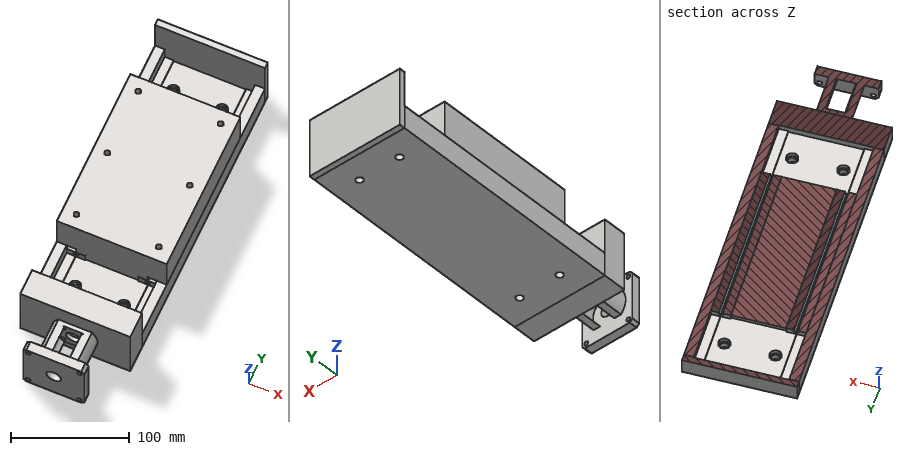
import cadquery as cq
import math

stage_width = 101.5
stage_height = 62.0

base_length = 255.0
base_height = 24.8
wall_inner_x = 41.5
ledge_inner_x = 33.5
ledge_z = 11.2
floor_z = 10.0
base_hole_spacing_x = 45.0
base_hole_spacing_y = 204.0
base_hole_diameter = 7.3
base_counterbore_diameter = 10.5
base_counterbore_depth = 4.0

rear_plate_thickness = 6.0
front_block_thickness = 24.8

carriage_length = 153.0
carriage_bottom_z = 13.0
carriage_hole_spacing_x = 76.0
carriage_hole_spacing_y = 64.0
carriage_hole_diameter = 5.0
carriage_hole_depth = 12.0
drill_tip_angle = 118

rail_width = 8.3
rail_top_z = 19.0
rail_gap = 0.5
groove_depth = 2.0

motor_axis_z = 29.0
flange_size = 56.5
flange_thickness = 9.0
flange_chamfer = 3.0
flange_hole_spacing = 47.3
flange_hole_diameter = 4.3
neck_length = 35.7
neck_diameter = 41.3
neck_flat_height = 27.5
neck_back_wall = 4.0
cavity_diameter = 31.7
shaft_hole_diameter = 13.5
mount_screw_spacing = 18.2
mount_screw_diameter = 4.0

rail_height = rail_top_z - ledge_z
base_front_y = -base_length / 2
block_front_y = base_front_y - front_block_thickness
flange_back_y = block_front_y - neck_length
moving_rail_outer_x = ledge_inner_x - rail_gap
moving_rail_inner_x = moving_rail_outer_x - rail_width


def extrude_along_y(outline, y_start, length):
    """Extrude a closed outline of (x, z) points from y_start toward +Y."""
    return cq.Workplane("XZ", origin=(0, y_start, 0)).polyline(outline).close().extrude(-length)


def mirrored_outline(right_half):
    """Complete an outline that is symmetric about X = 0 from its right-hand points."""
    return right_half + [(-x, z) for x, z in reversed(right_half)]


def y_cylinder(diameter, y_start, length, points):
    """Cylinders along +Y from y_start, centred on (x, z) points about the motor axis."""
    plane = cq.Workplane("XZ", origin=(0, y_start, motor_axis_z))
    return plane.pushPoints(points).circle(diameter / 2).extrude(-length)


def square_pattern(spacing):
    half = spacing / 2
    return [(x, z) for x in (-half, half) for z in (-half, half)]


def make_base():
    """Channel with side walls, a rail ledge along each wall and four counterbored holes."""
    half_width = stage_width / 2
    right_half = [
        (half_width, 0),
        (half_width, base_height),
        (wall_inner_x, base_height),
        (wall_inner_x, ledge_z),
        (ledge_inner_x, ledge_z),
        (ledge_inner_x, floor_z),
    ]
    body = extrude_along_y(mirrored_outline(right_half), base_front_y, base_length)
    return (
        body.copyWorkplane(cq.Workplane("XY", origin=(0, 0, floor_z)))
        .rarray(base_hole_spacing_x, base_hole_spacing_y, 2, 2)
        .cboreHole(base_hole_diameter, base_counterbore_diameter, base_counterbore_depth)
    )


def make_end_plate(y_start, thickness):
    """Full-height plate closing one end of the base."""
    return cq.Workplane("XY").box(
        stage_width, thickness, stage_height, centered=(True, False, False)
    ).translate((0, y_start, 0))


def make_carriage():
    """Table with a middle section that hangs into the channel and is notched for the moving rails."""
    half_width = stage_width / 2
    right_half = [
        (half_width, stage_height),
        (half_width, base_height),
        (moving_rail_outer_x, base_height),
        (moving_rail_outer_x, rail_top_z),
        (moving_rail_inner_x, rail_top_z),
        (moving_rail_inner_x, carriage_bottom_z),
    ]
    body = extrude_along_y(mirrored_outline(right_half), -carriage_length / 2, carriage_length)
    return body.cut(make_carriage_holes())


def make_carriage_holes():
    """Blind holes with conical drill tips, in two rows of three."""
    radius = carriage_hole_diameter / 2
    tip_height = radius / math.tan(math.radians(drill_tip_angle / 2))
    hole = (
        cq.Workplane("XZ")
        .polyline([
            (0, 0),
            (radius, 0),
            (radius, -carriage_hole_depth),
            (0, -carriage_hole_depth - tip_height),
        ])
        .close()
        .revolve(360, (0, 0, 0), (0, 1, 0))
        .val()
    )
    return (
        cq.Workplane("XY", origin=(0, 0, stage_height))
        .rarray(carriage_hole_spacing_x, carriage_hole_spacing_y, 2, 3)
        .eachpoint(lambda location: hole.moved(location))
    )


def make_rail(inner_x, groove_x):
    """Bar from inner_x outward on the +X side, with a V-groove in the side face at groove_x."""
    bar = cq.Workplane("XY").box(
        rail_width, carriage_length, rail_height, centered=(False, True, False)
    ).translate((inner_x, 0, ledge_z))
    groove_z = ledge_z + rail_height / 2
    diamond = [
        (groove_x - groove_depth, groove_z),
        (groove_x, groove_z + groove_depth),
        (groove_x + groove_depth, groove_z),
        (groove_x, groove_z - groove_depth),
    ]
    return bar.cut(extrude_along_y(diamond, -carriage_length / 2, carriage_length))


def make_rail_pair(inner_x, groove_x):
    """The same rail on the +X side and mirrored on the -X side."""
    rail = make_rail(inner_x, groove_x)
    return [rail.val(), rail.mirror("YZ").val()]


def make_motor_mount():
    """Square flange on a flattened round neck; the neck's bore breaks out through both flats."""
    flange = (
        cq.Workplane("XY")
        .box(flange_size, flange_thickness, flange_size)
        .edges("|Y")
        .chamfer(flange_chamfer)
        .translate((0, flange_back_y - flange_thickness / 2, motor_axis_z))
    )
    flats = cq.Workplane("XY").box(
        neck_diameter, neck_length, neck_flat_height, centered=(True, False, True)
    ).translate((0, flange_back_y, motor_axis_z))
    on_axis = [(0, 0)]
    neck = y_cylinder(neck_diameter, flange_back_y, neck_length, on_axis).intersect(flats)
    cavity = y_cylinder(cavity_diameter, flange_back_y, neck_length - neck_back_wall, on_axis)
    shaft_hole = y_cylinder(
        shaft_hole_diameter, flange_back_y - flange_thickness, flange_thickness + neck_length, on_axis
    )
    flange_holes = y_cylinder(
        flange_hole_diameter,
        flange_back_y - flange_thickness,
        flange_thickness,
        square_pattern(flange_hole_spacing),
    )
    screw_holes = y_cylinder(
        mount_screw_diameter,
        block_front_y - neck_back_wall,
        neck_back_wall,
        square_pattern(mount_screw_spacing),
    )
    return flange.union(neck).cut(cavity).cut(shaft_hole).cut(flange_holes).cut(screw_holes)


base = make_base()
rear_plate = make_end_plate(base_length / 2, rear_plate_thickness)
front_block = make_end_plate(block_front_y, front_block_thickness)
carriage = make_carriage()
motor_mount = make_motor_mount()
fixed_rails = make_rail_pair(ledge_inner_x, ledge_inner_x)
moving_rails = make_rail_pair(moving_rail_inner_x, moving_rail_outer_x)

result = cq.Compound.makeCompound([
    base.val(),
    rear_plate.val(),
    front_block.val(),
    carriage.val(),
    motor_mount.val(),
    *fixed_rails,
    *moving_rails,
])